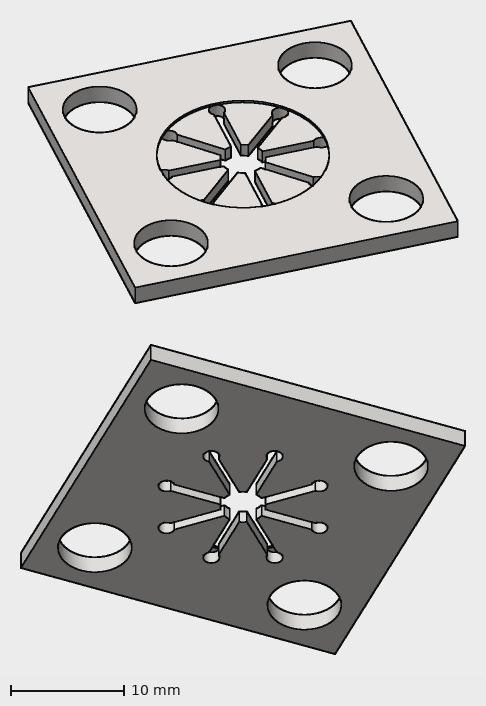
import cadquery as cq

side = 30.0
thickness = 1.77
corner_hole_diameter = 6.5
corner_hole_pitch = side * 2 / 3

window_diameter = 15.2
lip_thickness = 0.2
cavity_diameter = 18.0
floor_depth = 0.5
floor_thickness = thickness - floor_depth

hub_diameter = 4.02
slot_count = 8
slot_width = 0.9
relief_diameter = 1.45
relief_center_radius = 7.3


def make_plate():
    """Square plate, bottom on Z = 0, with four corner holes."""
    return (
        cq.Workplane("XY")
        .box(side, side, thickness, centered=(True, True, False))
        .faces(">Z").workplane()
        .rect(corner_hole_pitch, corner_hole_pitch, forConstruction=True)
        .vertices()
        .hole(corner_hole_diameter)
    )


def cylinder(diameter, height):
    return cq.Workplane("XY").circle(diameter / 2).extrude(height)


def make_slot(angle):
    """Radial slot ending in a round relief under the lip."""
    slot = (
        cq.Workplane("XY")
        .center(relief_center_radius / 2, 0)
        .rect(relief_center_radius, slot_width)
        .extrude(floor_thickness)
    )
    relief = cylinder(relief_diameter, floor_thickness).translate((relief_center_radius, 0, 0))
    return slot.union(relief).rotate((0, 0, 0), (0, 0, 1), angle)


def make_petal_gaps():
    """Hub opening and radial slots through the cavity floor."""
    gaps = cylinder(hub_diameter, floor_thickness)
    for index in range(slot_count):
        gaps = gaps.union(make_slot(index * 360 / slot_count))
    return gaps


def make_undercut_recess():
    """Window through the lip opening into the wider cavity."""
    window = cylinder(window_diameter, floor_depth)
    cavity = cylinder(cavity_diameter, floor_depth - lip_thickness)
    return window.union(cavity).translate((0, 0, floor_thickness))


result = make_plate().cut(make_undercut_recess()).cut(make_petal_gaps())